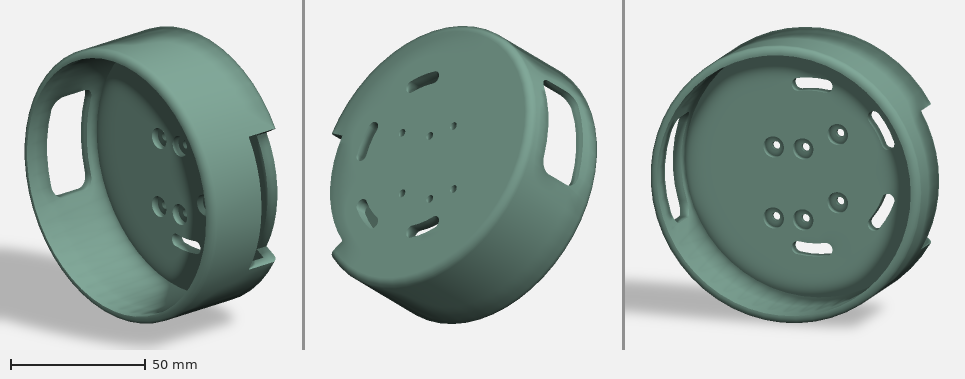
import cadquery as cq
import math

outer_diameter = 105.5
inner_diameter = 99.1
depth = 40.0
floor_thickness = 5.0
edge_radius = 3.0

window_height = 40.0
window_length = 19.9
window_center_y = depth / 2
window_corner_radius = 5.0

notch_inner_radius = 45.0
notch_half_angle = 30
notch_depth = 15.0
notch_clearance = 1.1

slot_path_radius = 31.5
slot_width = 5.0
slot_half_angle = 10
slot_angles = (30, 90, 270, 330)

hole_diameter = 3.2
counterbore_diameter = 8.0
counterbore_depth = 3.0
left_hole_columns = (-15.0, -3.5)
left_hole_rows = (6.6, -20.4)
right_hole_x = 10.0
right_hole_offset_z = 13.0

outer_radius = outer_diameter / 2
floor_front_y = depth - floor_thickness


def polar(radius, angle):
    """X, Z coordinates of a point at an angle in degrees from +X."""
    return (radius * math.cos(math.radians(angle)), radius * math.sin(math.radians(angle)))


def plane_at(y):
    """Sketch plane at depth y, local axes X and Z, normal facing the open rim."""
    return cq.Workplane("XZ", origin=(0, y, 0))


def make_cup():
    body = plane_at(depth).circle(outer_radius).extrude(depth).edges().fillet(edge_radius)
    cavity = plane_at(floor_front_y).circle(inner_diameter / 2).extrude(floor_front_y)
    return body.cut(cavity)


def make_window():
    return (
        cq.Workplane("YZ")
        .center(window_center_y, 0)
        .rect(window_length, window_height)
        .extrude(-outer_radius)
        .edges("|X")
        .fillet(window_corner_radius)
    )


def make_notch():
    cut_radius = outer_radius + notch_clearance
    return (
        plane_at(depth)
        .moveTo(*polar(notch_inner_radius, -notch_half_angle))
        .lineTo(*polar(cut_radius, -notch_half_angle))
        .threePointArc((cut_radius, 0), polar(cut_radius, notch_half_angle))
        .lineTo(*polar(notch_inner_radius, notch_half_angle))
        .threePointArc((notch_inner_radius, 0), polar(notch_inner_radius, -notch_half_angle))
        .close()
        .extrude(notch_depth)
    )


def make_slot(angle):
    inner = slot_path_radius - slot_width / 2
    outer = slot_path_radius + slot_width / 2
    cap_bulge = math.degrees(slot_width / 2 / slot_path_radius)
    start = angle - slot_half_angle
    end = angle + slot_half_angle
    return (
        plane_at(depth)
        .moveTo(*polar(inner, start))
        .threePointArc(polar(inner, angle), polar(inner, end))
        .threePointArc(polar(slot_path_radius, end + cap_bulge), polar(outer, end))
        .threePointArc(polar(outer, angle), polar(outer, start))
        .threePointArc(polar(slot_path_radius, start - cap_bulge), polar(inner, start))
        .close()
        .extrude(floor_thickness)
    )


def make_screw_holes():
    points = [(x, z) for x in left_hole_columns for z in left_hole_rows]
    points += [(right_hole_x, side * right_hole_offset_z) for side in (1, -1)]
    holes = plane_at(depth).pushPoints(points).circle(hole_diameter / 2).extrude(floor_thickness)
    counterbores = (
        plane_at(floor_front_y)
        .pushPoints(points)
        .circle(counterbore_diameter / 2)
        .extrude(-counterbore_depth)
    )
    return holes.union(counterbores)


result = make_cup().cut(make_window()).cut(make_notch()).cut(make_screw_holes())
for slot_angle in slot_angles:
    result = result.cut(make_slot(slot_angle))